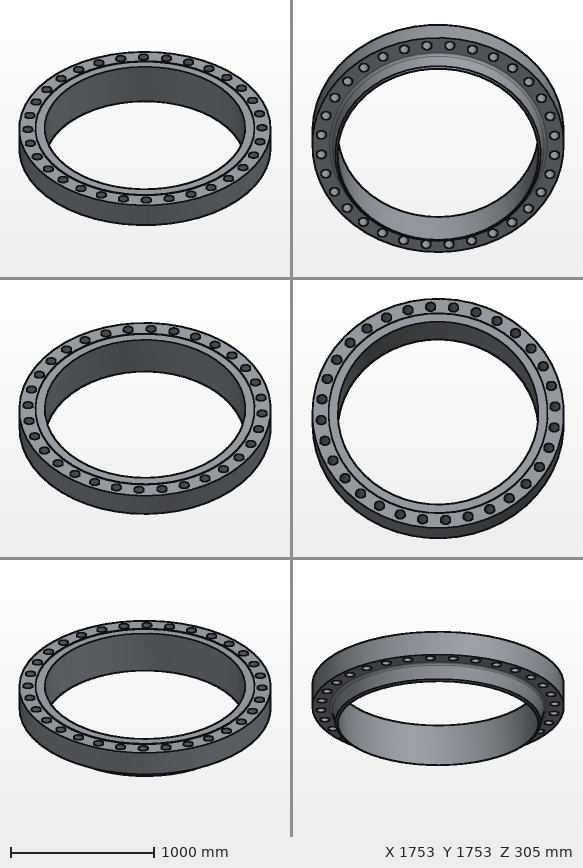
import cadquery as cq
import math

flange_diameter = 1753.0
bore_diameter = 1397.0
total_height = 305.0
raised_face_diameter = 1527.0
raised_face_height = 5.0
flange_thickness = 175.0

neck_root_diameter = 1483.0
neck_tip_diameter = 1430.0
neck_root_fillet = 21.0
bevel_height = 10.0
bevel_width = 14.0

bolt_count = 32
bolt_circle_diameter = 1632.0
bolt_hole_diameter = 67.0

flange_top = total_height - raised_face_height
flange_bottom = flange_top - flange_thickness


def make_body():
    """Revolve the ring section about Z, with the neck blended into the flange."""
    bore_radius = bore_diameter / 2
    flange_radius = flange_diameter / 2
    raised_radius = raised_face_diameter / 2
    root_radius = neck_root_diameter / 2
    tip_radius = neck_tip_diameter / 2

    taper = math.atan2(root_radius - tip_radius, flange_bottom - bevel_height)
    tangent_length = neck_root_fillet * math.tan((math.pi / 2 - taper) / 2)
    fillet_center_x = root_radius + tangent_length
    fillet_center_z = flange_bottom - neck_root_fillet
    fillet_start = (
        root_radius - tangent_length * math.sin(taper),
        flange_bottom - tangent_length * math.cos(taper),
    )
    middle_angle = (math.pi / 2 + math.pi - taper) / 2
    fillet_middle = (
        fillet_center_x + neck_root_fillet * math.cos(middle_angle),
        fillet_center_z + neck_root_fillet * math.sin(middle_angle),
    )
    fillet_end = (fillet_center_x, flange_bottom)

    section = (
        cq.Workplane("XZ")
        .moveTo(bore_radius, 0)
        .lineTo(tip_radius - bevel_width, 0)
        .lineTo(tip_radius, bevel_height)
        .lineTo(*fillet_start)
        .threePointArc(fillet_middle, fillet_end)
        .lineTo(flange_radius, flange_bottom)
        .lineTo(flange_radius, flange_top)
        .lineTo(raised_radius, flange_top)
        .lineTo(raised_radius, total_height)
        .lineTo(bore_radius, total_height)
        .close()
    )
    return section.revolve(360, (0, 0), (0, 1))


def make_bolt_holes():
    """Through-hole cutters on the bolt circle, the first one on +X."""
    return (
        cq.Workplane("XY")
        .polarArray(bolt_circle_diameter / 2, 0, 360, bolt_count)
        .circle(bolt_hole_diameter / 2)
        .extrude(total_height)
    )


result = make_body().cut(make_bolt_holes())